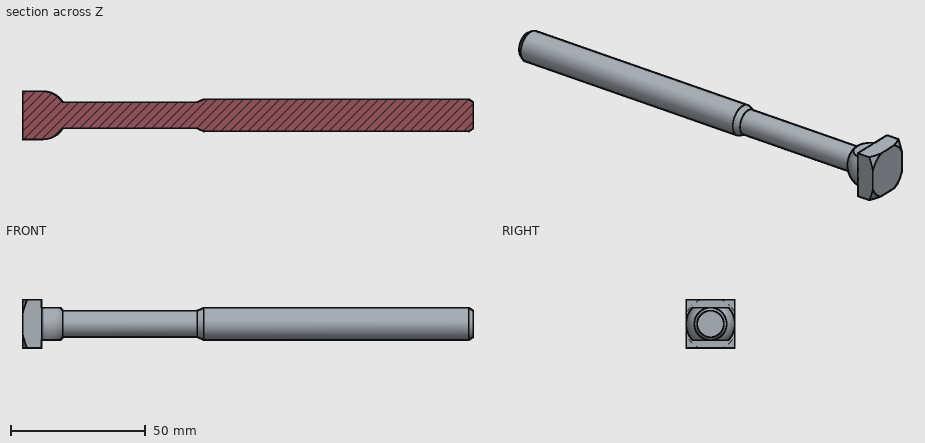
import cadquery as cq
import math

length = 167.0
head_width = 18.0
head_thickness = 7.0
head_face_radius = 9.9
head_chamfer_angle = 30.0

neck_width = 12.0
dome_radius = head_width / 2
dome_center_x = 7.3

thread_diameter = 12.0
shank_diameter = 9.9
runout_start_x = 64.6
thread_start_x = 67.1
end_chamfer_length = 1.7

shank_radius = shank_diameter / 2
thread_radius = thread_diameter / 2


def revolve_about_x(profile):
    """Spin a closed XY profile a full turn about the bolt axis."""
    return profile.close().revolve(360, (0, 0, 0), (1, 0, 0))


def make_head():
    """Square head with its face corners trimmed by a cone."""
    block = cq.Workplane("YZ").rect(head_width, head_width).extrude(head_thickness)
    cone_slope = math.tan(math.radians(head_chamfer_angle))
    cone_end_radius = head_face_radius + head_thickness / cone_slope
    cone = revolve_about_x(
        cq.Workplane("XY")
        .lineTo(0, head_face_radius)
        .lineTo(head_thickness, cone_end_radius)
        .lineTo(head_thickness, 0)
    )
    return block.intersect(cone)


def make_neck():
    """Short cylinder ending in a spherical dome, cut to two parallel flats."""
    dome_tip_x = dome_center_x + dome_radius
    diagonal = dome_radius * math.sqrt(0.5)
    dome = revolve_about_x(
        cq.Workplane("XY")
        .lineTo(0, dome_radius)
        .lineTo(dome_center_x, dome_radius)
        .threePointArc((dome_center_x + diagonal, diagonal), (dome_tip_x, 0))
    )
    neck_length = dome_tip_x - head_thickness
    flats = (
        cq.Workplane("YZ", origin=(head_thickness, 0, 0))
        .rect(head_width, neck_width)
        .extrude(neck_length)
    )
    return dome.intersect(flats)


def make_shaft():
    """Reduced shank, conical runout, thread body and chamfered end."""
    return revolve_about_x(
        cq.Workplane("XY")
        .lineTo(0, shank_radius)
        .lineTo(runout_start_x, shank_radius)
        .lineTo(thread_start_x, thread_radius)
        .lineTo(length - end_chamfer_length, thread_radius)
        .lineTo(length, shank_radius)
        .lineTo(length, 0)
    )


result = make_shaft().union(make_head()).union(make_neck())